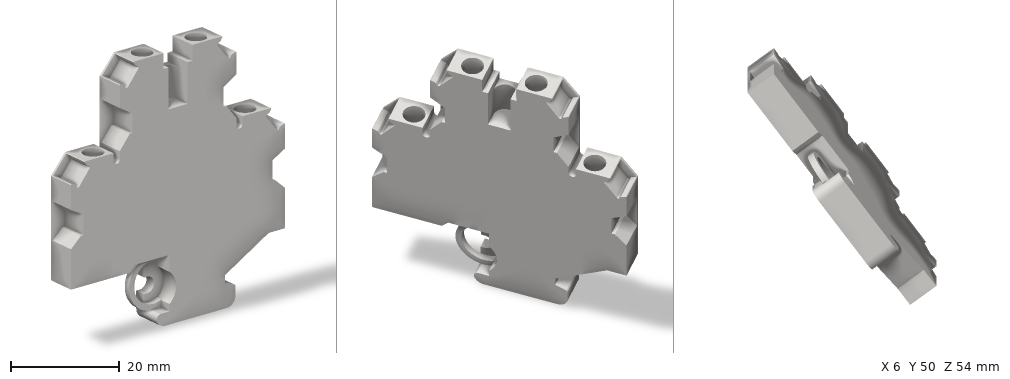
import cadquery as cq
import math

thickness = 6.0
height = 54.0
cover_skin = 0.5

tower_half = 13.6
shoulder_half = 25.0
shoulder_top = 37.05
body_bottom = 12.5
bevel_width = 3.3
bevel_drop = 3.9
bevel_land = 0.1

relief_width = 1.45
relief_depth = 2.25

slot_wide_half = 3.35
slot_wide_bottom = 50.85
slot_narrow_half = 2.2
slot_bottom = 49.1

entry_depth = 2.95
entry_ledge_width = 0.65
tower_entry = {"roof_z": 45.65, "wall_top": 43.85, "ledge_z": 39.95, "ramp_bottom": 37.1}
shoulder_entry = {"roof_z": 28.25, "wall_top": 26.6, "ledge_z": 22.55, "ramp_bottom": 20.45}

bore_x = 3.3
bore_radius = 2.1
bore_depth = 6.5
tower_bore_y = 6.25
shoulder_bore_y = 17.75

hook_y = 13.45
hook_corner_z = 4.15
hook_corner_radius = 0.55
neck_y = 10.95
neck_bottom = 4.95
neck_top = 6.6
ramp_start_y = 21.15
foot_radius = 2.05
foot_front_y = -5.1
front_wall_y = -4.95
clearance_top = 13.75
clearance_end_y = -10.05
clearance_bevel_y = -11.3
pin_hole_y = 10.0
pin_hole_z = 2.55
pin_hole_radius = 1.5
pin_hole_depth = 4.3

groove_y = -4.3
groove_z = 7.25
groove_radius = 1.6

front_wall_thickness = 2.25
pocket_wall_y = -2.0
pocket_floor = 2.6
lip_radius = 0.95
scoop_half_height = 3.2
scoop_radius = 4.05
ring_thickness = 1.3
ring_y = -3.95
ring_inner_radius = 4.4


def plate(points, x_start=0.0, x_end=thickness):
    """Extrude a closed (Y, Z) polygon from x_start to x_end."""
    return cq.Workplane("YZ", origin=(x_start, 0, 0)).polyline(points).close().extrude(x_end - x_start)


def rod(y, z, radius, x_start=0.0, x_end=thickness):
    """Cylinder along X centred on (y, z)."""
    return cq.Workplane("YZ", origin=(x_start, y, z)).circle(radius).extrude(x_end - x_start)


def slab(y_min, y_max, z_min, z_max, x_start=0.0, x_end=thickness):
    """Block between the given limits."""
    return plate([(y_min, z_min), (y_max, z_min), (y_max, z_max), (y_min, z_max)], x_start, x_end)


def make_blank():
    """Outer profile at full thickness, with the foot corners rounded."""
    outline = [
        (hook_y, 0),
        (hook_y, hook_corner_z),
        (neck_y, neck_bottom),
        (neck_y, neck_top),
        (ramp_start_y, body_bottom),
        (shoulder_half, body_bottom),
        (shoulder_half, shoulder_top - bevel_drop),
        (shoulder_half - bevel_width, shoulder_top),
        (tower_half, shoulder_top),
        (tower_half, height - bevel_drop),
        (tower_half - bevel_width, height),
        (-tower_half + bevel_width, height),
        (-tower_half, height - bevel_drop),
        (-tower_half, shoulder_top),
        (-shoulder_half + bevel_width, shoulder_top),
        (-shoulder_half, shoulder_top - bevel_drop),
        (-shoulder_half, body_bottom),
        (clearance_bevel_y, body_bottom),
        (clearance_end_y, clearance_top),
        (front_wall_y, clearance_top),
        (front_wall_y, groove_z),
        (foot_front_y, groove_z),
        (foot_front_y, 0),
    ]
    blank = plate(outline)
    rounded_corners = [
        (hook_y, 0, foot_radius),
        (foot_front_y, 0, foot_radius),
        (hook_y, hook_corner_z, hook_corner_radius),
    ]
    for y, z, radius in rounded_corners:
        corner = cq.selectors.NearestToPointSelector((thickness / 2, y, z))
        blank = blank.edges(corner).fillet(radius)
    return blank


def relief_slot(side):
    """Round-bottomed slot beside the tower."""
    radius = relief_width / 2
    y = side * (tower_half + radius)
    arc_z = shoulder_top - relief_depth + radius
    return slab(y - radius, y + radius, arc_z, shoulder_top).union(rod(y, arc_z, radius))


def edge_recess(side, half_width, offsets):
    """Cut beside the cover skin; offsets are (distance inward from the tier's edge, Z)."""
    points = [(side * (half_width - inward), z) for inward, z in offsets]
    return plate(points, cover_skin)


def bevel_recess(side, half_width, top):
    """Undercut bevel that leaves a narrow lip at each end."""
    land_drop = bevel_land * bevel_drop / bevel_width
    inward_and_drop = [
        (0, 0),
        (bevel_width - bevel_land, land_drop),
        (3.65, 0.85),
        (4.3, 1.15),
        (4.45, 1.5),
        (1.9, 4.7),
        (1.5, 4.8),
        (1.15, 4.15),
        (bevel_land, bevel_drop - land_drop),
    ]
    return edge_recess(side, half_width, [(inward, top - drop) for inward, drop in inward_and_drop])


def wire_entry(side, half_width, roof_z, wall_top, ledge_z, ramp_bottom):
    """Side recess with a sloping roof, upright back wall, short ledge and a ramp down to the edge."""
    return edge_recess(side, half_width, [
        (0, roof_z),
        (entry_depth, wall_top),
        (entry_depth, ledge_z),
        (entry_depth - entry_ledge_width, ledge_z),
        (0, ramp_bottom),
    ])


def bore(y, top):
    """Blind vertical bore."""
    return cq.Workplane("XY", origin=(bore_x, y, top)).circle(bore_radius).extrude(-bore_depth)


def slot_pocket():
    """U-shaped pocket in the slot floor, open toward +X."""
    start = cq.Workplane("XY", origin=(0, 0, slot_bottom))
    outline = (
        start.moveTo(thickness, -slot_narrow_half)
        .lineTo(bore_x, -slot_narrow_half)
        .threePointArc((bore_x - slot_narrow_half, 0), (bore_x, slot_narrow_half))
        .lineTo(thickness, slot_narrow_half)
        .close()
    )
    return outline.extrude(-bore_depth)


def spring_pocket():
    """Space behind the front wall, ending below in a floor with a rounded lip."""
    x_start = front_wall_thickness
    corner_y = foot_front_y + foot_radius
    lip_z = pocket_floor - lip_radius
    lip_y = corner_y - math.sqrt((foot_radius - lip_radius) ** 2 - (foot_radius - lip_z) ** 2)
    beyond_y = clearance_end_y
    space = slab(beyond_y, pocket_wall_y, 0, clearance_top, x_start)
    below_floor = slab(lip_y, pocket_wall_y, 0, pocket_floor, x_start)
    lip = rod(lip_y, lip_z, lip_radius, x_start)
    touch_z = foot_radius - (foot_radius - lip_z) * foot_radius / (foot_radius - lip_radius)
    base = slab(beyond_y, pocket_wall_y, 0, touch_z, x_start)
    scoop_y = pocket_wall_y - math.sqrt(scoop_radius ** 2 - scoop_half_height ** 2)
    scoop = rod(scoop_y, groove_z, scoop_radius, x_start).intersect(
        slab(pocket_wall_y, pocket_wall_y + scoop_radius, 0, clearance_top, x_start)
    )
    return space.cut(below_floor).cut(lip).cut(base).union(scoop)


def spring_ring():
    """Flat ring reaching from the pocket floor to the underside of the body."""
    x_end = front_wall_thickness + ring_thickness
    outer_radius = (clearance_top - pocket_floor) / 2
    ring_z = pocket_floor + outer_radius
    disc = rod(ring_y, ring_z, outer_radius, front_wall_thickness, x_end)
    return disc.cut(rod(ring_y, ring_z, ring_inner_radius, front_wall_thickness, x_end)).intersect(
        slab(clearance_end_y, pocket_wall_y, 0, clearance_top, front_wall_thickness, x_end)
    )


body = make_blank()

for side in (1, -1):
    body = body.cut(relief_slot(side))
    body = body.cut(bevel_recess(side, tower_half, height))
    body = body.cut(bevel_recess(side, shoulder_half, shoulder_top))
    body = body.cut(wire_entry(side, tower_half, **tower_entry))
    body = body.cut(wire_entry(side, shoulder_half, **shoulder_entry))
    body = body.cut(bore(side * tower_bore_y, height))
    body = body.cut(bore(side * shoulder_bore_y, shoulder_top))

body = body.cut(slab(-slot_wide_half, slot_wide_half, slot_wide_bottom, height))
body = body.cut(slab(-slot_narrow_half, slot_narrow_half, slot_bottom, height))
body = body.cut(slot_pocket())

body = body.cut(rod(pin_hole_y, pin_hole_z, pin_hole_radius, 0, pin_hole_depth))
body = body.cut(rod(groove_y, groove_z, groove_radius))
body = body.cut(slab(foot_front_y, groove_y, groove_z - groove_radius, groove_z + groove_radius))
body = body.cut(spring_pocket())
result = body.union(spring_ring())